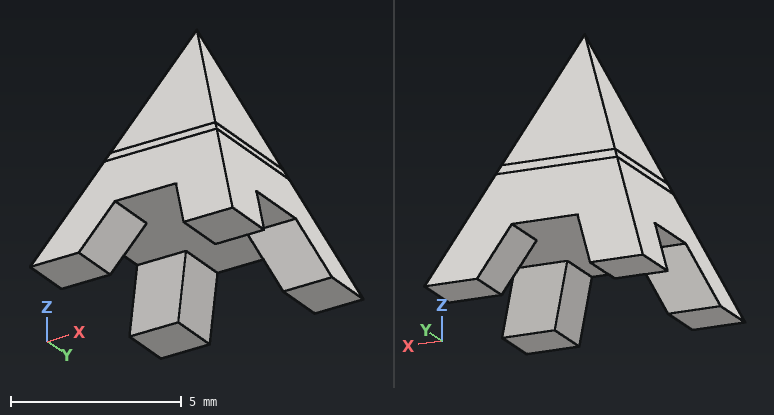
import cadquery as cq

BASE_WIDTH = 7.07
HEIGHT = 8.33

BAND_BOTTOM = 3.7
BAND_TOP = 4.0

LEG_WIDTH = 1.71
ARCH_HEIGHT = 1.81


def half_width(z):
    """Half the side of the pyramid's square section at height z."""
    return BASE_WIDTH / 2 * (1 - z / HEIGHT)


def pyramid_slice(bottom, top):
    """Square frustum of the pyramid between two heights."""
    lower_side = 2 * half_width(bottom)
    upper_side = 2 * half_width(top)
    return (
        cq.Workplane("XY", origin=(0, 0, bottom))
        .rect(lower_side, lower_side)
        .workplane(offset=top - bottom)
        .rect(upper_side, upper_side)
        .loft(ruled=True)
    )


def pyramid_tip(bottom):
    """Pointed top of the pyramid: a triangular face profile swept along both axes and intersected."""
    foot = half_width(bottom)
    profile = [(-foot, bottom), (foot, bottom), (0, HEIGHT)]
    across_x = cq.Workplane("XZ").polyline(profile).close().extrude(foot, both=True)
    across_y = cq.Workplane("YZ").polyline(profile).close().extrude(foot, both=True)
    return across_x.intersect(across_y)


def archway(plane):
    """Trapezoidal passage whose sides are parallel to the pyramid's slopes."""
    foot = half_width(0) - LEG_WIDTH
    crown = half_width(ARCH_HEIGHT) - LEG_WIDTH
    profile = [(-foot, 0), (foot, 0), (crown, ARCH_HEIGHT), (-crown, ARCH_HEIGHT)]
    return cq.Workplane(plane).polyline(profile).close().extrude(BASE_WIDTH, both=True)


base = pyramid_slice(0, BAND_BOTTOM)
for plane in ("XZ", "YZ"):
    base = base.cut(archway(plane))

band = pyramid_slice(BAND_BOTTOM, BAND_TOP)

tip = pyramid_tip(BAND_TOP)

result = cq.Compound.makeCompound([base.solids().val(), band.val(), tip.solids().val()])